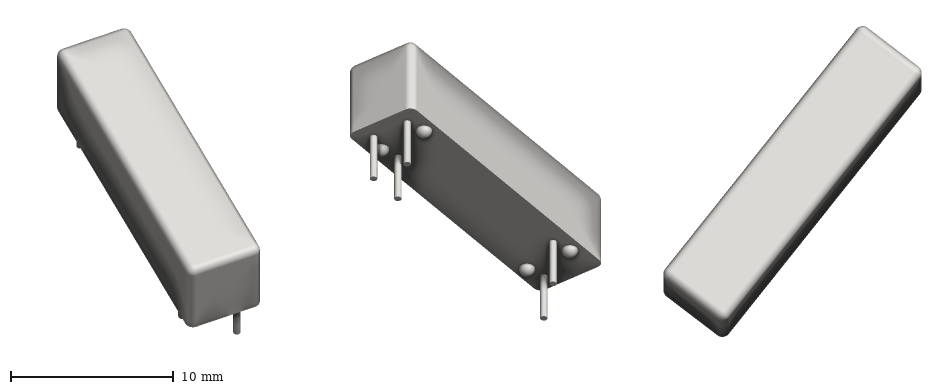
import cadquery as cq

body_length = 20.07
body_width = 4.95
total_height = 8.49
pin_length = 3.2
body_height = total_height - pin_length
edge_radius = 0.5

pin_diameter = 0.46
pin_pitch = 2.55
outer_pin_x = 8.9
inner_pin_x = outer_pin_x - pin_pitch
pin_y = pin_pitch / 2

standoff_radius = 0.5
standoff_x = (outer_pin_x + inner_pin_x) / 2
standoff_y = 1.63

pin_positions = [
    (-outer_pin_x, -pin_y),
    (inner_pin_x, -pin_y),
    (-outer_pin_x, pin_y),
    (-inner_pin_x, pin_y),
    (outer_pin_x, pin_y),
]


def make_body():
    """Block standing on Z = 0, rounded on its upright and top edges; the bottom edges stay sharp."""
    block = cq.Workplane("XY").box(body_length, body_width, body_height, centered=(True, True, False))
    return block.edges("|Z or >Z").fillet(edge_radius)


def make_pins():
    """Round pins hanging down from the underside."""
    return cq.Workplane("XY").pushPoints(pin_positions).circle(pin_diameter / 2).extrude(-pin_length)


def make_standoffs():
    """Spheres centred on the underside, so that their lower halves project as domes."""
    centres = cq.Workplane("XY").rect(2 * standoff_x, 2 * standoff_y, forConstruction=True).vertices()
    return centres.sphere(standoff_radius)


result = make_body().union(make_pins()).union(make_standoffs())